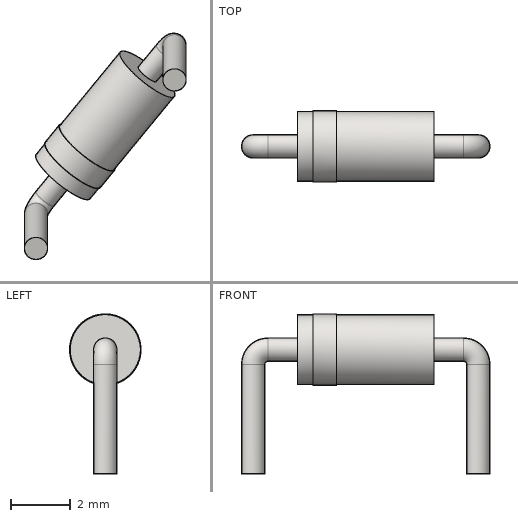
import cadquery as cq

overall_length = 8.41
lead_diameter = 0.79
body_diameter = 2.37
body_length = 4.63
band_diameter = 2.42
band_width = 0.79
band_offset = 0.53
bend_radius = 0.505
axis_height = 4.205

lead_spacing = overall_length - lead_diameter
body_start = -body_length / 2


def cylinder_along_x(diameter, start, length):
    """Cylinder on the body axis, beginning at x = start."""
    plane = cq.Workplane("YZ", origin=(start, 0, axis_height))
    return plane.circle(diameter / 2).extrude(length)


def bent_leads():
    """One continuous wire: up from a tip, through the body, down to the other tip."""
    half_spacing = lead_spacing / 2
    bend_x = half_spacing - bend_radius
    bend_z = axis_height - bend_radius
    path = (
        cq.Workplane("XZ")
        .moveTo(-half_spacing, 0)
        .lineTo(-half_spacing, bend_z)
        .radiusArc((-bend_x, axis_height), bend_radius)
        .lineTo(bend_x, axis_height)
        .radiusArc((half_spacing, bend_z), bend_radius)
        .lineTo(half_spacing, 0)
    )
    return cq.Workplane("XY", origin=(-half_spacing, 0, 0)).circle(lead_diameter / 2).sweep(path)


body = cylinder_along_x(body_diameter, body_start, body_length)
band = cylinder_along_x(band_diameter, body_start + band_offset, band_width)
result = body.union(band).union(bent_leads())